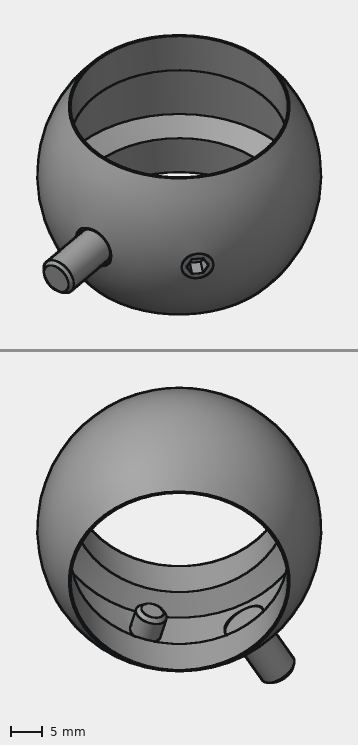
import cadquery as cq
import math

total_length = 53.8
ball_diameter = 44.5
ball_radius = ball_diameter / 2
ring_height = 28.0
bore_radius = 34.0 / 2
groove_radius = 41.0 / 2
groove_mouth_height = 14.0
groove_wall_height = 10.0

stud_diameter = 7.0
rod_diameter = 6.0
shoulder_height = (stud_diameter - rod_diameter) / 2
shoulder_recess = 0.8
rod_tip_chamfer = 0.6
pin_inner_y = -groove_radius
pin_tip_y = ball_radius - total_length
ball_stud_edge = math.sqrt(ball_radius**2 - (stud_diameter / 2) ** 2)
shoulder_start_y = shoulder_recess - ball_stud_edge

screw_diameter = 5.0
screw_outer_radius = 22.15
screw_inner_radius = 16.15
screw_tip_chamfer = 0.7
socket_across_flats = 3.0
socket_depth = 2.7
screw_direction = cq.Vector(1, -1, 0).normalized()


def screw_plane(distance):
    """Plane across the screw axis at a distance from the ball centre, facing outward."""
    return cq.Plane(origin=screw_direction * distance, xDir=(0, 0, 1), normal=screw_direction)


def pin_plane(y):
    """Plane across the pin axis, facing -Y."""
    return cq.Plane(origin=(0, y, 0), xDir=(1, 0, 0), normal=(0, -1, 0))


def make_grooved_bore():
    """Through bore with a wide middle groove whose two sides are conical."""
    half_height = ring_height / 2
    half_mouth = groove_mouth_height / 2
    half_wall = groove_wall_height / 2
    return (
        cq.Workplane("XZ")
        .moveTo(0, -half_height)
        .lineTo(bore_radius, -half_height)
        .lineTo(bore_radius, -half_mouth)
        .lineTo(groove_radius, -half_wall)
        .lineTo(groove_radius, half_wall)
        .lineTo(bore_radius, half_mouth)
        .lineTo(bore_radius, half_height)
        .lineTo(0, half_height)
        .close()
        .revolve(360, (0, 0, 0), (0, 1, 0))
    )


def make_ring():
    slab = cq.Workplane("XY").box(ball_diameter, ball_diameter, ring_height)
    ring = cq.Workplane("XY").sphere(ball_radius).intersect(slab).cut(make_grooved_bore())
    pin_hole = cq.Workplane(pin_plane(0)).circle(stud_diameter / 2).extrude(ball_diameter)
    screw_hole = cq.Workplane(screw_plane(0)).circle(screw_diameter / 2).extrude(ball_diameter)
    return ring.cut(pin_hole).cut(screw_hole)


def make_pin():
    stud_length = pin_inner_y - shoulder_start_y + shoulder_height
    stud = (
        cq.Workplane(pin_plane(pin_inner_y))
        .circle(stud_diameter / 2)
        .extrude(stud_length)
        .faces("<Y")
        .chamfer(shoulder_height)
    )
    rod = (
        cq.Workplane(pin_plane(pin_inner_y))
        .circle(rod_diameter / 2)
        .extrude(pin_inner_y - pin_tip_y)
        .faces("<Y")
        .chamfer(rod_tip_chamfer)
    )
    return stud.union(rod)


def make_set_screw():
    body = (
        cq.Workplane(screw_plane(screw_inner_radius))
        .circle(screw_diameter / 2)
        .extrude(screw_outer_radius - screw_inner_radius)
        .faces(cq.selectors.DirectionMinMaxSelector(screw_direction, False))
        .chamfer(screw_tip_chamfer)
    )
    corner_diameter = socket_across_flats / math.cos(math.pi / 6)
    socket = (
        cq.Workplane(screw_plane(screw_outer_radius))
        .transformed(rotate=(0, 0, 90))
        .polygon(6, corner_diameter)
        .extrude(-socket_depth)
    )
    return body.cut(socket)


ring = make_ring()
pin = make_pin()
set_screw = make_set_screw()

result = cq.Compound.makeCompound([ring.val(), pin.val(), set_screw.val()])